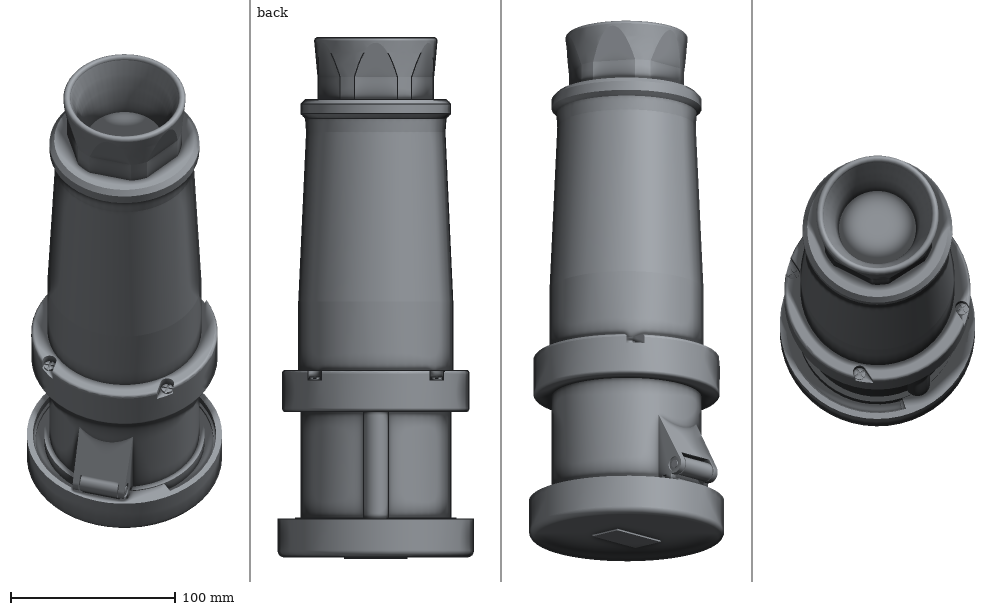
import cadquery as cq
import math

pad_height = 1.0
flange_top = 24.0
lip_top = 24.8
ring_bottom = 89.5
ring_top = 114.5
taper_bottom = 156.5
taper_top = 259.7
collar_bottom = 268.3
collar_top = 279.7
bell_bottom = 293.5
bell_top = 317.5

flange_radius = 119.0 / 2
flange_round = 3.8
lip_radius = 49.0
tube_radius = 45.7
ring_radius = 56.8
ring_round = 2.0
grip_radius = 47.0
taper_middle_radius = 44.8
neck_radius = 42.2
collar_radius = 45.7
collar_chamfer = 3.0
nut_radius = 35.2
bell_radius = 74.5 / 2

rim_height = 2.05
flat_distance = 32.7
flat_distance_at_rim = 37.5
mouth_radius = 33.0
mouth_middle_radius = 26.7
mouth_floor_radius = 23.5
mouth_depth = 37.5

pad_length = 38.0
pad_width = 21.0

recess_radius = 56.0
recess_depth = 4.8
recess_start_angles = (135, 315)
recess_sweep = 120
ledge_width = 1.5
ledge_drop = 1.5
ledge_angle = 2

screw_offset = 37.0
pocket_radius = 4.0
pocket_depth = 5.7
screw_radius = 3.5
screw_height = 1.5
cross_width = 1.3
cross_depth = 1.0

rib_radius = 7.5
rib_reach = 52.5

hinge_root_half_width = 16.8
hinge_half_width = 16.2
hinge_tip = 68.0
hinge_round = 5.7
overall_depth = 120.5
hinge_axis_y = flange_radius - overall_depth + hinge_round
hinge_axis_z = 34.3
hinge_foot_y = -52.7
hinge_foot_height = 4.5
knuckle_half_width = 11.7
knuckle_gap = 0.5
knuckle_clearance = 8.0
leaf_front_y = -54.5
leaf_height = 2.0
pin_radius = 2.38
pin_recess_radius = 4.5
pin_recess_depth = 0.5
notch_start_y = -45.7
notch_end_y = -49.2
notch_depth = 1.5


def cylinder(radius, bottom, top, x=0, y=0):
    return cq.Workplane("XY", origin=(x, y, bottom)).circle(radius).extrude(top - bottom)


def box(x_range, y_range, z_range):
    size = [high - low for low, high in (x_range, y_range, z_range)]
    corner = (x_range[0], y_range[0], z_range[0])
    return cq.Workplane("XY").box(*size, centered=False).translate(corner)


def rod_along_x(radius, x_start, x_end):
    plane = cq.Workplane("YZ", origin=(x_start, hinge_axis_y, hinge_axis_z))
    return plane.circle(radius).extrude(x_end - x_start)


def turned_core():
    """Lip, tube, grip and collar as one turned outline."""
    return (
        cq.Workplane("XZ")
        .moveTo(0, pad_height)
        .lineTo(lip_radius, pad_height)
        .lineTo(lip_radius, lip_top)
        .lineTo(tube_radius, lip_top)
        .lineTo(tube_radius, ring_bottom)
        .lineTo(grip_radius, ring_bottom)
        .lineTo(grip_radius, taper_bottom)
        .spline(
            [(taper_middle_radius, (taper_bottom + taper_top) / 2), (neck_radius, taper_top)],
            includeCurrent=True,
        )
        .lineTo(collar_radius - collar_chamfer, collar_bottom)
        .lineTo(collar_radius, collar_bottom + collar_chamfer)
        .lineTo(collar_radius, collar_top - collar_chamfer)
        .lineTo(collar_radius - collar_chamfer, collar_top)
        .lineTo(0, collar_top)
        .close()
        .revolve(360, (0, 0), (0, 1))
    )


def hexagon_points(distance):
    corner = distance / math.cos(math.pi / 6)
    angles = [math.radians(side * 60) for side in range(6)]
    return [(corner * math.cos(a), corner * math.sin(a)) for a in angles]


def bell():
    """Flared nut: a turned shape trimmed by six flats that lean outwards towards the rim."""
    rim_bottom = bell_top - rim_height
    turned = (
        cq.Workplane("XZ")
        .moveTo(0, collar_top)
        .lineTo(nut_radius, collar_top)
        .lineTo(nut_radius, bell_bottom)
        .lineTo(bell_radius, rim_bottom)
        .threePointArc(
            ((bell_radius + mouth_radius) / 2, bell_top),
            (mouth_radius, rim_bottom),
        )
        .threePointArc(
            (mouth_middle_radius, bell_top - mouth_depth / 2),
            (mouth_floor_radius, bell_top - mouth_depth),
        )
        .lineTo(0, bell_top - mouth_depth)
        .close()
        .revolve(360, (0, 0), (0, 1))
    )
    straight = (
        cq.Workplane("XY", origin=(0, 0, collar_top))
        .polyline(hexagon_points(flat_distance))
        .close()
        .extrude(bell_bottom - collar_top)
    )
    leaning = (
        cq.Workplane("XY", origin=(0, 0, bell_bottom))
        .polyline(hexagon_points(flat_distance))
        .close()
        .workplane(offset=rim_bottom - bell_bottom)
        .polyline(hexagon_points(flat_distance_at_rim))
        .close()
        .loft(ruled=True)
    )
    rim = cylinder(bell_radius, rim_bottom, bell_top)
    return turned.intersect(straight.union(leaning).union(rim))


def sector(radius, start_angle, end_angle, bottom):
    """Pie-shaped cutter from the axis out to radius, rising to the flange top."""

    def on_wall(angle):
        return (radius * math.cos(math.radians(angle)), radius * math.sin(math.radians(angle)))

    return (
        cq.Workplane("XY", origin=(0, 0, bottom))
        .lineTo(*on_wall(start_angle))
        .threePointArc(on_wall((start_angle + end_angle) / 2), on_wall(end_angle))
        .close()
        .extrude(flange_top - bottom)
    )


def flange():
    """Round end flange; the sectors cut from its top become stepped recesses around the lip."""
    plate = cylinder(flange_radius, pad_height, flange_top).faces("<Z").edges().fillet(flange_round)
    ledge = flange_top - recess_depth
    for start in recess_start_angles:
        end = start + recess_sweep
        plate = plate.cut(sector(recess_radius, start, end, ledge))
        plate = plate.cut(
            sector(recess_radius - ledge_width, start + ledge_angle, end - ledge_angle, ledge - ledge_drop)
        )
    return plate


def screw_pocket(x_side, y_side):
    """Pocket for a screw head: half round towards the axis, open outwards along Y."""
    x = x_side * screw_offset
    y = y_side * screw_offset
    open_end = y_side * flange_radius
    return (
        cq.Workplane("XY", origin=(0, 0, ring_top - pocket_depth))
        .moveTo(x - pocket_radius, open_end)
        .lineTo(x - pocket_radius, y)
        .threePointArc((x, y - y_side * pocket_radius), (x + pocket_radius, y))
        .lineTo(x + pocket_radius, open_end)
        .close()
        .extrude(2 * pocket_depth)
    )


def screw_head(x_side, y_side):
    x = x_side * screw_offset
    y = y_side * screw_offset
    bottom = ring_top - pocket_depth
    top = bottom + screw_height
    half = cross_width / 2
    z_range = (top - cross_depth, top)
    head = cylinder(screw_radius, bottom, top, x, y)
    head = head.cut(box((x - screw_radius, x + screw_radius), (y - half, y + half), z_range))
    return head.cut(box((x - half, x + half), (y - screw_radius, y + screw_radius), z_range))


def ring_with_screws():
    ring = cylinder(ring_radius, ring_bottom, ring_top).edges().fillet(ring_round)
    for x_side in (-1, 1):
        for y_side in (-1, 1):
            ring = ring.cut(screw_pocket(x_side, y_side))
            ring = ring.union(screw_head(x_side, y_side))
    return ring


def hinge_bracket():
    """Wedge on the tube, narrowing outwards, whose slope runs tangent into the round at the axis."""
    root_y = -math.sqrt(tube_radius**2 - hinge_root_half_width**2)
    tip_y = hinge_axis_y - hinge_round
    foot_top = flange_top + hinge_foot_height

    def tangent_point(y, z, side):
        reach = math.hypot(y - hinge_axis_y, z - hinge_axis_z)
        towards = math.atan2(z - hinge_axis_z, y - hinge_axis_y)
        angle = towards + side * math.acos(hinge_round / reach)
        return (
            hinge_axis_y + hinge_round * math.cos(angle),
            hinge_axis_z + hinge_round * math.sin(angle),
        )

    side_outline = (
        cq.Workplane("YZ", origin=(-hinge_root_half_width, 0, 0))
        .moveTo(root_y, hinge_tip)
        .lineTo(*tangent_point(root_y, hinge_tip, 1))
        .threePointArc((tip_y, hinge_axis_z), tangent_point(hinge_foot_y, foot_top, -1))
        .lineTo(hinge_foot_y, foot_top)
        .lineTo(hinge_foot_y, flange_top)
        .lineTo(root_y, flange_top)
        .close()
        .extrude(2 * hinge_root_half_width)
    )
    plan_outline = (
        cq.Workplane("XY", origin=(0, 0, flange_top))
        .moveTo(-hinge_root_half_width, root_y)
        .lineTo(hinge_root_half_width, root_y)
        .lineTo(hinge_half_width, tip_y)
        .lineTo(-hinge_half_width, tip_y)
        .close()
        .extrude(hinge_tip - flange_top)
    )
    bracket = side_outline.intersect(plan_outline)
    gap_half_width = knuckle_half_width + knuckle_gap
    bracket = bracket.cut(rod_along_x(knuckle_clearance, -gap_half_width, gap_half_width))
    for side in (-1, 1):
        x_outside = side * hinge_root_half_width
        x_recess = side * (hinge_half_width - pin_recess_depth)
        x_notch = side * (hinge_half_width - notch_depth)
        bracket = bracket.cut(rod_along_x(pin_recess_radius, x_recess, x_outside))
        notch = box(sorted((x_notch, x_outside)), (notch_end_y, notch_start_y), (flange_top, foot_top))
        bracket = bracket.cut(notch)
    return bracket


def hinge_knuckle():
    """Knuckle on its pin, with the leaf of the lid resting on the flange below."""
    knuckle = rod_along_x(hinge_round, -knuckle_half_width, knuckle_half_width)
    leaf = box(
        (-knuckle_half_width, knuckle_half_width),
        (leaf_front_y, notch_end_y),
        (flange_top, flange_top + leaf_height),
    )
    pin = rod_along_x(pin_radius, -hinge_half_width, hinge_half_width)
    return knuckle.union(pin).union(leaf)


pad = cq.Workplane("XY").rect(pad_length, pad_width).extrude(pad_height)
rib = cylinder(rib_radius, flange_top, ring_bottom, 0, rib_reach - rib_radius)

result = (
    turned_core()
    .union(bell())
    .union(flange())
    .union(ring_with_screws())
    .union(rib)
    .union(hinge_bracket())
    .union(hinge_knuckle())
    .union(pad)
)